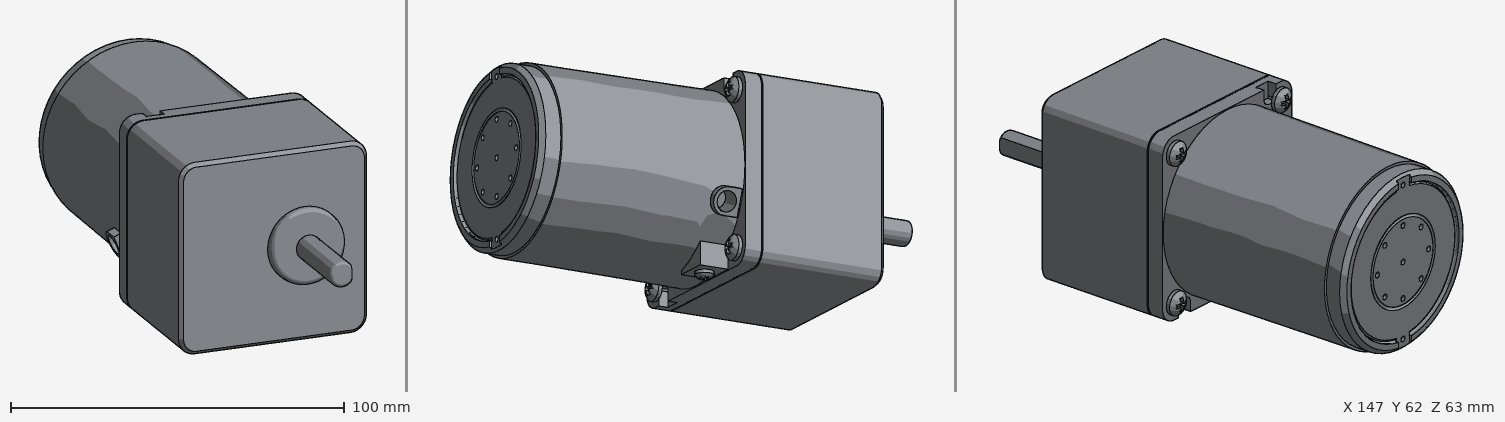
import cadquery as cq
import math

CAP_END = 6.8
FLANGE_REAR = 69.1
GEARBOX_REAR = 74.8
GEARBOX_FRONT = 117.0
PILOT_FRONT = 120.1
SHAFT_END = 147.0

SQUARE_SIDE = 60.9
CORNER_RADIUS = 5.3
GEARBOX_CHAMFER = 1.2
SEAM_CHAMFER = 0.3

CAN_REAR_RADIUS = 29.7
CAN_FRONT_RADIUS = 30.1
CAP_RADIUS = 28.8
CAP_CHAMFER_LENGTH = 1.6
CAP_CHAMFER_WIDTH = 1.5
RECESS_RADIUS = 25.5
RECESS_DEPTH = 0.7
GROOVE_WIDTH = 1.0
INNER_GROOVE_RADIUS = 15.1
CAP_SLOT_WIDTH = 6.0
SLOT_LENGTH = 8.8
CAP_HOLE_DIAMETER = 1.8
CAP_HOLE_DEPTH = 1.5
HOLE_RING_RADIUS = 12.0
HOLE_RING_COUNT = 8
SLOT_HOLE_RADIUS = 25.5

NOTCH_START = 17.2
NOTCH_WIDTH = 5.7
NOTCH_HEIGHT = 5.6
NOTCH_DEPTH = 3.1
NOTCH_FILLET = 2.6

OUTLET_X = 63.0
OUTLET_WIDTH = 8.8
OUTLET_TILT = 22.5
OUTLET_FACE_HEIGHT = 32.3
OUTLET_ROOT_HEIGHT = 26.5
OUTLET_HOLE_DIAMETER = 6.5
OUTLET_HOLE_DEPTH = 7.4

BLOCK_REAR = 59.5
BLOCK_WIDTH = 11.8
BLOCK_Y = -14.0
BLOCK_TOP = -22.6
BLOCK_BOTTOM = -30.1
TERMINAL_X = 64.2
TERMINAL_HEAD_DIAMETER = 5.9
TERMINAL_HEAD_HEIGHT = 2.5
TERMINAL_SHANK_DIAMETER = 3.0
TERMINAL_SHANK_LENGTH = 5.9

SCREW_OFFSET = 24.7
SCREW_HEAD_DIAMETER = 8.0
SCREW_HEAD_HEIGHT = 3.1
SCREW_SHANK_DIAMETER = 4.0
SCREW_SHANK_LENGTH = 14.7

RIM_FRACTION = 0.4
CROSS_LENGTH_FRACTION = 0.55
CROSS_WIDTH_FRACTION = 0.16
CROSS_DEPTH_FRACTION = 0.5

SHAFT_Y = 10.0
PILOT_DIAMETER = 24.1
PILOT_FILLET = 1.5
SHAFT_DIAMETER = 8.0
SHAFT_END_FILLET = 1.0
SHAFT_SOCKET_DEPTH = 14.7
FLAT_DEPTH = 1.0
FLAT_GAP = 0.5
FLAT_START = PILOT_FRONT + FLAT_GAP


def section(x, y=0, z=0):
    """Sketch plane facing +X, with sketch axes along Y and Z."""
    return cq.Workplane("YZ", origin=(x, y, z))


def screw_positions():
    return [(y, z) for y in (-SCREW_OFFSET, SCREW_OFFSET) for z in (-SCREW_OFFSET, SCREW_OFFSET)]


def square_block(rear, front):
    block = section(rear).rect(SQUARE_SIDE, SQUARE_SIDE).extrude(front - rear)
    return block.edges("|X").fillet(CORNER_RADIUS)


def make_screw(head_diameter, head_height, shank_diameter, shank_length):
    """Screw with its head above the XY plane and its shank below it."""
    head_radius = head_diameter / 2
    rim = head_height * RIM_FRACTION
    dome_rise = head_height - rim
    dome_radius = (head_radius**2 + dome_rise**2) / (2 * dome_rise)
    dome_half_angle = math.asin(head_radius / dome_radius) / 2
    dome_middle = (
        dome_radius * math.sin(dome_half_angle),
        head_height - dome_radius * (1 - math.cos(dome_half_angle)),
    )
    screw = (
        cq.Workplane("XZ")
        .moveTo(0, -shank_length)
        .lineTo(shank_diameter / 2, -shank_length)
        .lineTo(shank_diameter / 2, 0)
        .lineTo(head_radius, 0)
        .lineTo(head_radius, rim)
        .threePointArc(dome_middle, (0, head_height))
        .close()
        .revolve(360, (0, 0), (0, 1))
    )
    for angle in (0, 90):
        arm = (
            cq.Workplane("XY", origin=(0, 0, head_height))
            .transformed(rotate=(0, 0, angle))
            .rect(head_diameter * CROSS_LENGTH_FRACTION, head_diameter * CROSS_WIDTH_FRACTION)
            .extrude(-head_height * CROSS_DEPTH_FRACTION)
        )
        screw = screw.cut(arm)
    return screw


def cap_groove(outer_radius):
    """Ring with a round section, centred in the floor of the cap recess."""
    middle = outer_radius - GROOVE_WIDTH / 2
    ring = cq.Workplane("XZ").moveTo(RECESS_DEPTH, middle).circle(GROOVE_WIDTH / 2)
    return ring.revolve(360, (0, 0), (1, 0))


def slot_block(side, depth):
    """Block above or below the motor axis, spanning the cap rim from inside the recess."""
    return section(0, 0, side * SLOT_HOLE_RADIUS).rect(CAP_SLOT_WIDTH, SLOT_LENGTH).extrude(depth)


def make_can():
    profile = [
        (0, 0),
        (0, CAP_RADIUS - CAP_CHAMFER_WIDTH),
        (CAP_CHAMFER_LENGTH, CAP_RADIUS),
        (CAP_END, CAP_RADIUS),
        (CAP_END, CAN_REAR_RADIUS),
        (FLANGE_REAR, CAN_FRONT_RADIUS),
        (FLANGE_REAR, 0),
    ]
    can = cq.Workplane("XZ").polyline(profile).close().revolve(360, (0, 0), (1, 0))
    can = can.cut(section(0).circle(RECESS_RADIUS).extrude(RECESS_DEPTH))
    rim_groove = cap_groove(RECESS_RADIUS)
    for side in (-1, 1):
        can = can.cut(slot_block(side, RECESS_DEPTH))
        rim_groove = rim_groove.cut(slot_block(side, 2 * RECESS_DEPTH))
    can = can.cut(rim_groove).cut(cap_groove(INNER_GROOVE_RADIUS))
    ring_holes = section(RECESS_DEPTH).polarArray(HOLE_RING_RADIUS, 0, 360, HOLE_RING_COUNT)
    can = can.cut(ring_holes.circle(CAP_HOLE_DIAMETER / 2).extrude(CAP_HOLE_DEPTH))
    can = can.cut(section(RECESS_DEPTH).circle(CAP_HOLE_DIAMETER / 2).extrude(CAP_HOLE_DEPTH))
    slot_holes = section(RECESS_DEPTH).pushPoints([(0, -SLOT_HOLE_RADIUS), (0, SLOT_HOLE_RADIUS)])
    return can.cut(slot_holes.circle(CAP_HOLE_DIAMETER / 2).extrude(CAP_HOLE_DEPTH))


def make_flange():
    flange = square_block(FLANGE_REAR, GEARBOX_REAR)
    floor = SQUARE_SIDE / 2 - NOTCH_HEIGHT
    notch = (
        section(FLANGE_REAR, -NOTCH_START - NOTCH_WIDTH / 2, floor + NOTCH_HEIGHT / 2)
        .rect(NOTCH_WIDTH, NOTCH_HEIGHT)
        .extrude(NOTCH_DEPTH)
        .edges("|X and <Z and >Y")
        .fillet(NOTCH_FILLET)
    )
    opposite = notch.rotate((0, 0, 0), (1, 0, 0), 180)
    shank_holes = section(FLANGE_REAR).pushPoints(screw_positions()).circle(SCREW_SHANK_DIAMETER / 2)
    return flange.cut(notch).cut(opposite).cut(shank_holes.extrude(GEARBOX_REAR - FLANGE_REAR))


def outlet_plane(height):
    """Sketch plane on the outlet axis, which is tilted down from -Y."""
    tilt = math.radians(OUTLET_TILT)
    direction = cq.Vector(0, -math.cos(tilt), -math.sin(tilt))
    base = cq.Vector(OUTLET_X, 0, 0) + direction * height
    return cq.Workplane(cq.Plane(base, (1, 0, 0), direction))


def add_cable_outlet(motor):
    half = OUTLET_WIDTH / 2
    boss = (
        outlet_plane(OUTLET_ROOT_HEIGHT)
        .moveTo(0, -half)
        .lineTo(half, -half)
        .lineTo(half, half)
        .lineTo(0, half)
        .threePointArc((-half, 0), (0, -half))
        .close()
        .extrude(OUTLET_FACE_HEIGHT - OUTLET_ROOT_HEIGHT)
    )
    hole = outlet_plane(OUTLET_FACE_HEIGHT).circle(OUTLET_HOLE_DIAMETER / 2).extrude(-OUTLET_HOLE_DEPTH)
    return motor.union(boss).cut(hole)


def add_terminal_block(motor):
    length = FLANGE_REAR - BLOCK_REAR
    height = BLOCK_TOP - BLOCK_BOTTOM
    block = cq.Workplane("XY").box(length, BLOCK_WIDTH, height, centered=(False, True, False))
    block = block.translate((BLOCK_REAR, BLOCK_Y, BLOCK_BOTTOM))
    hole = cq.Workplane("XY", origin=(TERMINAL_X, BLOCK_Y, BLOCK_BOTTOM))
    hole = hole.circle(TERMINAL_SHANK_DIAMETER / 2).extrude(TERMINAL_SHANK_LENGTH)
    return motor.union(block).cut(hole)


def make_motor():
    motor = make_can().union(make_flange())
    return add_terminal_block(add_cable_outlet(motor))


def make_gearbox():
    gearbox = square_block(GEARBOX_REAR, GEARBOX_FRONT)
    gearbox = gearbox.faces(">X").edges().chamfer(GEARBOX_CHAMFER)
    gearbox = gearbox.faces("<X").edges().chamfer(SEAM_CHAMFER)
    pilot = section(GEARBOX_FRONT, SHAFT_Y).circle(PILOT_DIAMETER / 2).extrude(PILOT_FRONT - GEARBOX_FRONT)
    gearbox = gearbox.union(pilot.faces(">X").edges().fillet(PILOT_FILLET))
    socket = section(PILOT_FRONT, SHAFT_Y).circle(SHAFT_DIAMETER / 2).extrude(-SHAFT_SOCKET_DEPTH)
    hole_depth = SCREW_SHANK_LENGTH - (GEARBOX_REAR - FLANGE_REAR)
    screw_holes = section(GEARBOX_REAR).pushPoints(screw_positions()).circle(SCREW_SHANK_DIAMETER / 2)
    return gearbox.cut(socket).cut(screw_holes.extrude(hole_depth))


def make_shaft():
    rear = PILOT_FRONT - SHAFT_SOCKET_DEPTH
    shaft = section(rear, SHAFT_Y).circle(SHAFT_DIAMETER / 2).extrude(SHAFT_END - rear)
    shaft = shaft.faces(">X").edges().fillet(SHAFT_END_FILLET)
    flat = section(FLAT_START, SHAFT_Y + SHAFT_DIAMETER - FLAT_DEPTH).rect(SHAFT_DIAMETER, SHAFT_DIAMETER)
    return shaft.cut(flat.extrude(SHAFT_END - FLAT_START))


def make_mounting_screw(y, z):
    screw = make_screw(SCREW_HEAD_DIAMETER, SCREW_HEAD_HEIGHT, SCREW_SHANK_DIAMETER, SCREW_SHANK_LENGTH)
    return screw.rotate((0, 0, 0), (0, 1, 0), -90).translate((FLANGE_REAR, y, z))


def make_terminal_screw():
    screw = make_screw(
        TERMINAL_HEAD_DIAMETER, TERMINAL_HEAD_HEIGHT, TERMINAL_SHANK_DIAMETER, TERMINAL_SHANK_LENGTH
    )
    return screw.rotate((0, 0, 0), (1, 0, 0), 180).translate((TERMINAL_X, BLOCK_Y, BLOCK_BOTTOM))


motor = make_motor()
gearbox = make_gearbox()
shaft = make_shaft()
mounting_screws = [make_mounting_screw(y, z) for y, z in screw_positions()]
terminal_screw = make_terminal_screw()

result = cq.Compound.makeCompound(
    [motor.val(), gearbox.val(), shaft.val(), terminal_screw.val(), *[s.val() for s in mounting_screws]]
)